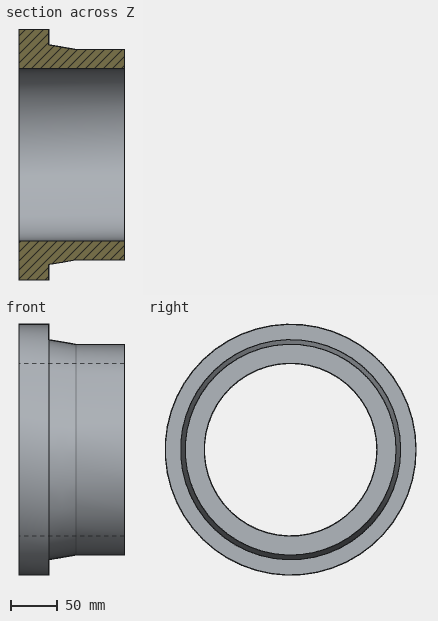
import cadquery as cq

flange_diameter = 268.0
neck_diameter = 235.0
spigot_diameter = 225.0
bore_diameter = 184.0

flange_thickness = 32.0
taper_length = 29.0
total_length = 113.0

flange_radius = flange_diameter / 2
neck_radius = neck_diameter / 2
spigot_radius = spigot_diameter / 2
bore_radius = bore_diameter / 2
taper_end = flange_thickness + taper_length


def stub_end():
    """Half section in the XY plane, revolved about the X axis."""
    section = (
        cq.Workplane("XY")
        .moveTo(0, bore_radius)
        .lineTo(0, flange_radius)
        .lineTo(flange_thickness, flange_radius)
        .lineTo(flange_thickness, neck_radius)
        .lineTo(taper_end, spigot_radius)
        .lineTo(total_length, spigot_radius)
        .lineTo(total_length, bore_radius)
        .close()
    )
    return section.revolve(360, (0, 0, 0), (1, 0, 0))


result = stub_end()